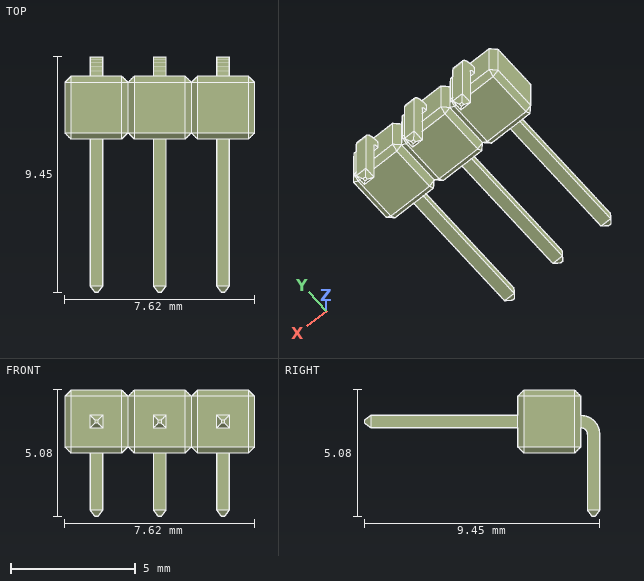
import cadquery as cq
import math

position_count = 3
pitch = 2.54
block_chamfer = 0.254
pin_width = 0.508
bend_inner_radius = 0.254
bend_facet_count = 6
tip_length = 0.254
tip_width = 0.127
overall_depth = 9.45
overall_height = 5.08

half_block = pitch / 2
half_pin = pin_width / 2
bend_outer_radius = bend_inner_radius + pin_width
bend_centre_y = half_block
bend_centre_z = half_pin - bend_outer_radius
leg_back_y = bend_centre_y + bend_outer_radius
leg_centre_y = leg_back_y - half_pin
contact_shoulder_y = leg_back_y - overall_depth + tip_length
solder_shoulder_z = half_block - overall_height + tip_length


def make_block():
    """Insulator cube with every edge chamfered."""
    return cq.Workplane("XY").box(pitch, pitch, pitch).edges().chamfer(block_chamfer)


def bend_points(radius):
    """Corners (y, z) of the faceted quarter turn, from its top round to its back."""
    points = []
    for index in range(bend_facet_count + 1):
        angle = math.radians(90 * index / bend_facet_count)
        y = bend_centre_y + radius * math.sin(angle)
        z = bend_centre_z + radius * math.cos(angle)
        points.append((y, z))
    return points


def make_shank():
    """Square pin between its tips: straight contact, faceted bend and solder leg."""
    outer_side = bend_points(bend_outer_radius)
    inner_side = bend_points(bend_inner_radius)
    contact_shoulder = [(contact_shoulder_y, -half_pin), (contact_shoulder_y, half_pin)]
    solder_shoulder = [
        (leg_back_y, solder_shoulder_z),
        (leg_back_y - pin_width, solder_shoulder_z),
    ]
    outline = contact_shoulder + outer_side + solder_shoulder + inner_side[::-1]
    return cq.Workplane("YZ").polyline(outline).close().extrude(half_pin, both=True)


def make_tip(shoulder, direction):
    """Tapered square tip that starts at a shoulder and points along a direction."""
    plane = cq.Plane(origin=shoulder, xDir=(1, 0, 0), normal=direction)
    return (
        cq.Workplane(plane)
        .rect(pin_width, pin_width)
        .workplane(offset=tip_length)
        .rect(tip_width, tip_width)
        .loft(ruled=True)
    )


def make_pin():
    """Right-angle square pin, pointed at both ends."""
    contact_tip = make_tip((0, contact_shoulder_y, 0), (0, -1, 0))
    solder_tip = make_tip((0, leg_centre_y, solder_shoulder_z), (0, 0, -1))
    return make_shank().union(contact_tip).union(solder_tip)


def make_header_unit():
    """One header position: a block moulded around its pin, as a single solid."""
    return make_block().union(make_pin()).solids()


header_units = []
for index in range(position_count):
    unit_x = (index - (position_count - 1) / 2) * pitch
    header_units.append(make_header_unit().translate((unit_x, 0, 0)).val())

result = cq.Compound.makeCompound(header_units)